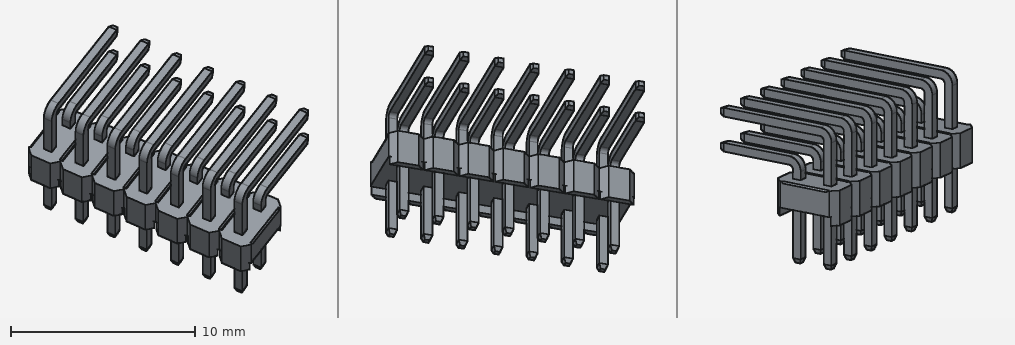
import cadquery as cq


pin_columns = 7
overall_length = 14.0
pitch = overall_length / pin_columns

housing_depth = 2 * pitch
housing_height = pitch
corner_chamfer = 0.4
channel_width = 3.29
channel_height = 0.5
groove_length = 3.0
groove_depth = 0.1

pin_width = pitch / 4
tail_length = 2.8
bend_outer_radius = 0.74
bend_inner_radius = bend_outer_radius - pin_width
tip_length = 0.28
tip_width = 0.3

front_row_y = -pitch / 2
back_row_y = pitch / 2
front_row_z = housing_height + 1.5 * pitch
back_row_z = housing_height + 0.5 * pitch
arm_end_y = 3 * pitch

column_x = [(i - (pin_columns - 1) / 2) * pitch for i in range(pin_columns)]
boundary_x = [(i - pin_columns / 2) * pitch for i in range(pin_columns + 1)]


def housing_segment(x):
    """One chamfered block of the housing, holding one pin of each row."""
    block = cq.Workplane("XY").box(pitch, housing_depth, housing_height, centered=(True, True, False))
    return block.edges("|Z").chamfer(corner_chamfer).translate((x, 0, 0))


def underside_channel():
    """Open channel running the full length of the housing underside."""
    return cq.Workplane("XY").box(
        overall_length, channel_width, channel_height, centered=(True, True, False)
    )


def top_groove(x):
    """V-groove across the housing top, with ends sloping at 45 degrees."""
    half_length = groove_length / 2
    v_profile = (
        cq.Workplane("XZ")
        .moveTo(-groove_depth, housing_height)
        .lineTo(0, housing_height - groove_depth)
        .lineTo(groove_depth, housing_height)
        .close()
        .extrude(half_length, both=True)
    )
    sloped_ends = (
        cq.Workplane("YZ")
        .moveTo(-half_length, housing_height)
        .lineTo(groove_depth - half_length, housing_height - groove_depth)
        .lineTo(half_length - groove_depth, housing_height - groove_depth)
        .lineTo(half_length, housing_height)
        .close()
        .extrude(groove_depth, both=True)
    )
    return v_profile.intersect(sloped_ends).translate((x, 0, 0))


def pin_tip(start, direction):
    """Tapered square tip growing from start along direction."""
    end_plane = cq.Plane(origin=start, xDir=(1, 0, 0), normal=direction)
    return (
        cq.Workplane(end_plane)
        .rect(pin_width, pin_width)
        .workplane(offset=tip_length)
        .rect(tip_width, tip_width)
        .loft(ruled=True)
    )


def bent_pin(x, row_y, arm_z):
    """Square pin rising through the housing and bending towards +Y."""
    outer_y = row_y - pin_width / 2
    inner_y = row_y + pin_width / 2
    upper_z = arm_z + pin_width / 2
    lower_z = arm_z - pin_width / 2
    shank_bottom_z = tip_length - tail_length
    arm_front_y = arm_end_y - tip_length
    shank = (
        cq.Workplane("YZ")
        .moveTo(outer_y, shank_bottom_z)
        .lineTo(outer_y, upper_z - bend_outer_radius)
        .radiusArc((outer_y + bend_outer_radius, upper_z), bend_outer_radius)
        .lineTo(arm_front_y, upper_z)
        .lineTo(arm_front_y, lower_z)
        .lineTo(inner_y + bend_inner_radius, lower_z)
        .radiusArc((inner_y, lower_z - bend_inner_radius), -bend_inner_radius)
        .lineTo(inner_y, shank_bottom_z)
        .close()
        .extrude(pin_width / 2, both=True)
    )
    tail_tip = pin_tip((0, row_y, shank_bottom_z), (0, 0, -1))
    arm_tip = pin_tip((0, arm_front_y, arm_z), (0, 1, 0))
    return shank.union(tail_tip).union(arm_tip).translate((x, 0, 0))


housing = housing_segment(column_x[0])
for x in column_x[1:]:
    housing = housing.union(housing_segment(x))
housing = housing.cut(underside_channel())
for x in boundary_x:
    housing = housing.cut(top_groove(x))

result = housing
for x in column_x:
    result = result.union(bent_pin(x, front_row_y, front_row_z))
    result = result.union(bent_pin(x, back_row_y, back_row_z))